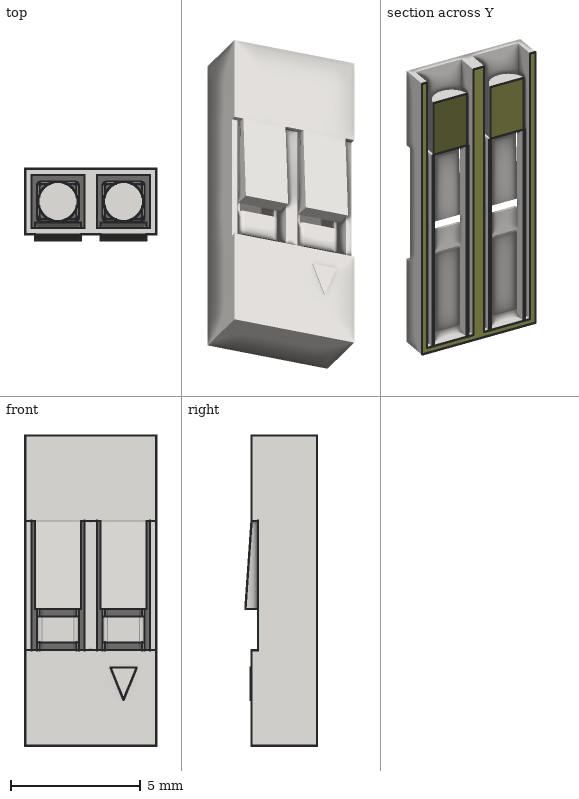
import cadquery as cq

contact_count = 2
housing_width = 5.08
pitch = housing_width / contact_count
wall = 0.25
housing_depth = 2.55
housing_height = 12
cavity_size = housing_depth - 2 * wall
front_y = -housing_depth / 2
cavity_front_y = front_y + wall
contact_places = [(i - (contact_count - 1) / 2) * pitch for i in range(contact_count)]

window_bottom = 3.7
window_top = 8.7

latch_width = 1.79
latch_bottom = 5.28
latch_outward = 0.24
latch_inward = 0.22

mark_width = 1.01
mark_top = 3.02
mark_tip = 1.78
mark_relief = 0.04

channel_width = 1.63
channel_depth = 1.55
channel_corner = 0.19
channel_thickness = 0.1
channel_bottom = wall
channel_top = window_top
bridge_bottom = 4.0
bridge_top = 5.0
wire_diameter = 1.52
wire_top = 11.0


def block(width, depth, bottom, top):
    """Box centred on the Z axis between two heights."""
    return cq.Workplane("XY").workplane(offset=bottom).rect(width, depth).extrude(top - bottom)


def latch():
    """Wedge on the centre line that tapers up to the thickness of the front wall."""
    profile = [
        (front_y, window_top),
        (front_y - latch_outward, latch_bottom),
        (cavity_front_y + latch_inward, latch_bottom),
        (cavity_front_y, window_top),
    ]
    return cq.Workplane("YZ").polyline(profile).close().extrude(latch_width / 2, both=True)


def triangle_mark(x):
    """Raised triangle on the front face, pointing down."""
    corners = [
        (x - mark_width / 2, mark_top),
        (x + mark_width / 2, mark_top),
        (x, mark_tip),
    ]
    return cq.Workplane("XZ", origin=(0, front_y, 0)).polyline(corners).close().extrude(mark_relief)


def make_housing():
    body = block(housing_width, housing_depth, 0, housing_height)
    window_y = (front_y + cavity_front_y) / 2
    window = block(housing_width, wall, window_bottom, window_top).translate((0, window_y, 0))
    body = body.cut(window)
    for x in contact_places:
        cavity = block(cavity_size, cavity_size, wall, housing_height)
        body = body.cut(cavity.translate((x, 0, 0)))
    for x in contact_places:
        body = body.union(latch().translate((x, 0, 0)))
    return body.union(triangle_mark(contact_places[-1]))


def rounded_tube(bottom, top):
    """Rectangular tube with an even wall and rounded upright edges."""
    outside = block(channel_width, channel_depth, bottom, top).edges("|Z").fillet(channel_corner)
    inside = block(
        channel_width - 2 * channel_thickness,
        channel_depth - 2 * channel_thickness,
        bottom,
        top,
    )
    return outside.cut(inside.edges("|Z").fillet(channel_corner - channel_thickness))


def make_contact(x):
    tube = rounded_tube(channel_bottom, channel_top)
    opening_y = -channel_depth / 2 + channel_corner / 2
    for bottom, top in [(channel_bottom, bridge_bottom), (bridge_top, channel_top)]:
        opening = block(channel_width, channel_corner, bottom, top)
        tube = tube.cut(opening.translate((0, opening_y, 0)))
    wire = (
        cq.Workplane("XY")
        .workplane(offset=channel_top)
        .circle(wire_diameter / 2)
        .extrude(wire_top - channel_top)
    )
    return tube.union(wire).translate((x, 0, 0))


housing = make_housing()
contacts = [make_contact(x) for x in contact_places]

result = cq.Compound.makeCompound([housing.val(), *[contact.val() for contact in contacts]])